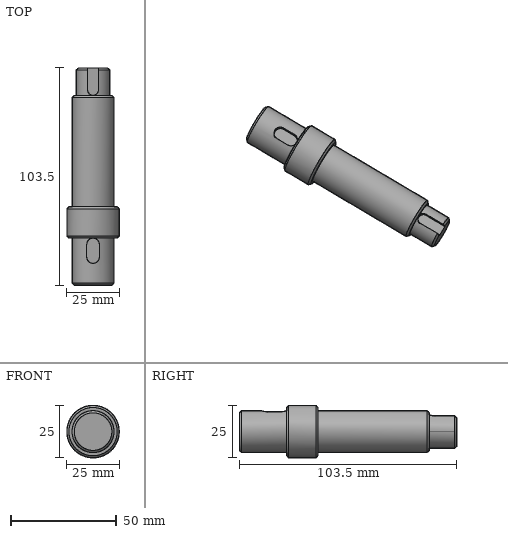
import cadquery as cq

total_length = 103.5
front_length = 22.5
collar_length = 15.0
rear_length = 13.0

collar_diameter = 25.0
body_diameter = 20.0
rear_diameter = 16.0
chamfer = 1.0

front_key_width = 6.0
front_key_length = 2 * front_key_width
front_key_depth = 3.5
rear_key_width = 5.2
rear_key_depth = 3.0

front_end = -total_length / 2
rear_end = total_length / 2
collar_front = front_end + front_length
collar_rear = collar_front + collar_length
rear_shoulder = rear_end - rear_length


def shaft_profile():
    """Half section of the stepped shaft, with chamfered outer corners."""
    collar_radius = collar_diameter / 2
    body_radius = body_diameter / 2
    rear_radius = rear_diameter / 2
    points = [
        (0, front_end),
        (body_radius - chamfer, front_end),
        (body_radius, front_end + chamfer),
        (body_radius, collar_front),
        (collar_radius - chamfer, collar_front),
        (collar_radius, collar_front + chamfer),
        (collar_radius, collar_rear - chamfer),
        (collar_radius - chamfer, collar_rear),
        (body_radius, collar_rear),
        (body_radius, rear_shoulder - chamfer),
        (body_radius - chamfer, rear_shoulder),
        (rear_radius, rear_shoulder),
        (rear_radius, rear_end - chamfer),
        (rear_radius - chamfer, rear_end),
        (0, rear_end),
    ]
    return cq.Workplane("XY").polyline(points).close()


def keyway(start, end, width, floor, top):
    """Round-ended cutter between two Y positions, from its flat floor up to top."""
    return (
        cq.Workplane("XY", origin=(0, (start + end) / 2, floor))
        .slot2D(end - start, width, 90)
        .extrude(top - floor)
    )


shaft = shaft_profile().revolve(360, (0, 0, 0), (0, 1, 0))

front_keyway = keyway(
    collar_front - front_key_length,
    collar_front,
    front_key_width,
    body_diameter / 2 - front_key_depth,
    body_diameter / 2,
)

rear_keyway = keyway(
    rear_shoulder,
    rear_end + rear_key_width,
    rear_key_width,
    rear_diameter / 2 - rear_key_depth,
    rear_diameter / 2,
)

result = shaft.cut(front_keyway).cut(rear_keyway)